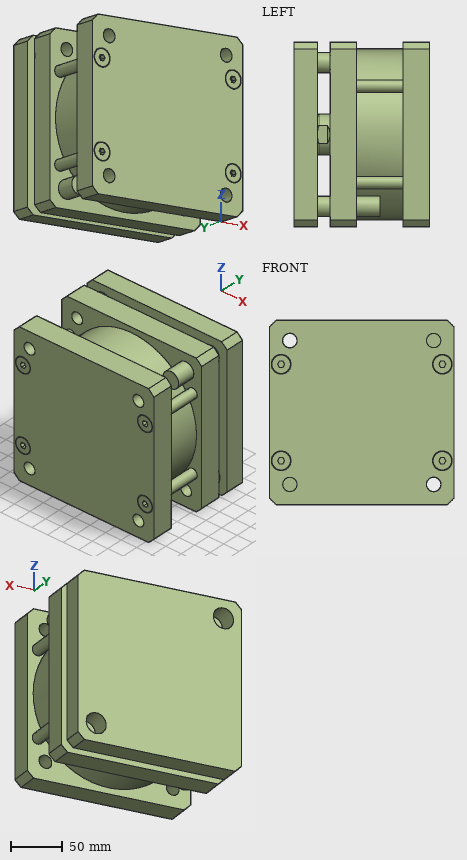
import cadquery as cq
import math

PLATE_SIDE = 180.0
PLATE_TURNED_DIAMETER = 245.0
FRONT_THICKNESS = 26.0
MIDDLE_THICKNESS = 26.0
BACK_THICKNESS = 23.0
CYLINDER_LENGTH = 45.0
BACK_GAP = 12.0

FRONT_Y = 0.0
CYLINDER_Y = FRONT_Y + FRONT_THICKNESS
MIDDLE_Y = CYLINDER_Y + CYLINDER_LENGTH
GAP_Y = MIDDLE_Y + MIDDLE_THICKNESS
BACK_Y = GAP_Y + BACK_GAP

CYLINDER_DIAMETER = 167.0

ROD_DIAMETER = 40.0
ROD_ACROSS_FLATS = 36.0
FLAT_RUNOUT = 2.5
ROD_END_RADIUS = 2.0

GUIDE_OFFSET = 70.0
GUIDE_HOLE_DIAMETER = 13.9
BACK_HOLE_DIAMETER = 22.0
PIN_DIAMETER = 20.0
PIN_OVERHANG = 22.5
PIN_CORNERS = [(1, 1), (-1, -1)]
OPEN_CORNERS = [(-1, 1), (1, -1)]

BOLT_X = 78.5
BOLT_Z = 47.0
BOLT_DIAMETER = 12.0
HEAD_DIAMETER = 18.0
COUNTERBORE_DIAMETER = 19.0
COUNTERBORE_DEPTH = 12.0
SOCKET_ACROSS_FLATS = 6.0
SOCKET_DEPTH = 6.0

ALL_CORNERS = PIN_CORNERS + OPEN_CORNERS
GUIDE_POINTS = [(sx * GUIDE_OFFSET, sz * GUIDE_OFFSET) for sx, sz in ALL_CORNERS]
PIN_POINTS = [(sx * GUIDE_OFFSET, sz * GUIDE_OFFSET) for sx, sz in PIN_CORNERS]
OPEN_POINTS = [(sx * GUIDE_OFFSET, sz * GUIDE_OFFSET) for sx, sz in OPEN_CORNERS]
BOLT_POINTS = [(sx * BOLT_X, sz * BOLT_Z) for sx, sz in ALL_CORNERS]


def section_at(y):
    """Workplane across the stack at y: local x is X, local y is Z, extrusion runs toward -Y."""
    return cq.Workplane("XZ", origin=(0, y, 0))


def plate(y, thickness):
    """Square plate whose corners are turned off to a circle about the Y axis."""
    square = section_at(y).rect(PLATE_SIDE, PLATE_SIDE).extrude(-thickness)
    return square.intersect(rods([(0, 0)], PLATE_TURNED_DIAMETER, y, thickness))


def rods(points, diameter, y, length):
    """Round bars of the given diameter that start at y and run toward +Y."""
    return section_at(y).pushPoints(points).circle(diameter / 2).extrude(-length)


def piston_rod():
    """Rod with a rounded back end, and flats on the -X and +X sides that slope out before the middle plate."""
    radius = ROD_DIAMETER / 2
    flat_x = ROD_ACROSS_FLATS / 2
    rod = rods([(0, 0)], ROD_DIAMETER, GAP_Y, BACK_GAP)
    rod = rod.faces(">Y").edges().fillet(ROD_END_RADIUS)
    envelope = (
        cq.Workplane("XY")
        .moveTo(-radius, GAP_Y)
        .lineTo(radius, GAP_Y)
        .lineTo(flat_x, GAP_Y + FLAT_RUNOUT)
        .lineTo(flat_x, BACK_Y)
        .lineTo(-flat_x, BACK_Y)
        .lineTo(-flat_x, GAP_Y + FLAT_RUNOUT)
        .close()
        .extrude(radius, both=True)
    )
    return rod.intersect(envelope)


def front_plate():
    """Front plate with guide holes and, around each bolt head, the clearance of its counterbore."""
    body = plate(FRONT_Y, FRONT_THICKNESS)
    body = body.cut(rods(GUIDE_POINTS, GUIDE_HOLE_DIAMETER, FRONT_Y, FRONT_THICKNESS))
    clearance = rods(BOLT_POINTS, COUNTERBORE_DIAMETER, FRONT_Y, COUNTERBORE_DEPTH)
    clearance = clearance.cut(rods(BOLT_POINTS, HEAD_DIAMETER, FRONT_Y, COUNTERBORE_DEPTH))
    sockets = (
        section_at(FRONT_Y)
        .pushPoints(BOLT_POINTS)
        .polygon(6, SOCKET_ACROSS_FLATS / math.cos(math.pi / 6))
        .extrude(-SOCKET_DEPTH)
    )
    return body.cut(clearance).cut(sockets)


def middle_plate():
    body = plate(MIDDLE_Y, MIDDLE_THICKNESS)
    return body.cut(rods(OPEN_POINTS, GUIDE_HOLE_DIAMETER, MIDDLE_Y, MIDDLE_THICKNESS))


def back_plate():
    body = plate(BACK_Y, BACK_THICKNESS)
    return body.cut(rods(OPEN_POINTS, BACK_HOLE_DIAMETER, BACK_Y, BACK_THICKNESS))


cylinder = rods([(0, 0)], CYLINDER_DIAMETER, CYLINDER_Y, CYLINDER_LENGTH)
tie_bolts = rods(BOLT_POINTS, BOLT_DIAMETER, CYLINDER_Y, CYLINDER_LENGTH)
pin_start = MIDDLE_Y - PIN_OVERHANG
guide_pins = rods(PIN_POINTS, PIN_DIAMETER, pin_start, BACK_Y - pin_start)

result = (
    front_plate()
    .union(cylinder)
    .union(tie_bolts)
    .union(middle_plate())
    .union(guide_pins)
    .union(piston_rod())
    .union(back_plate())
)